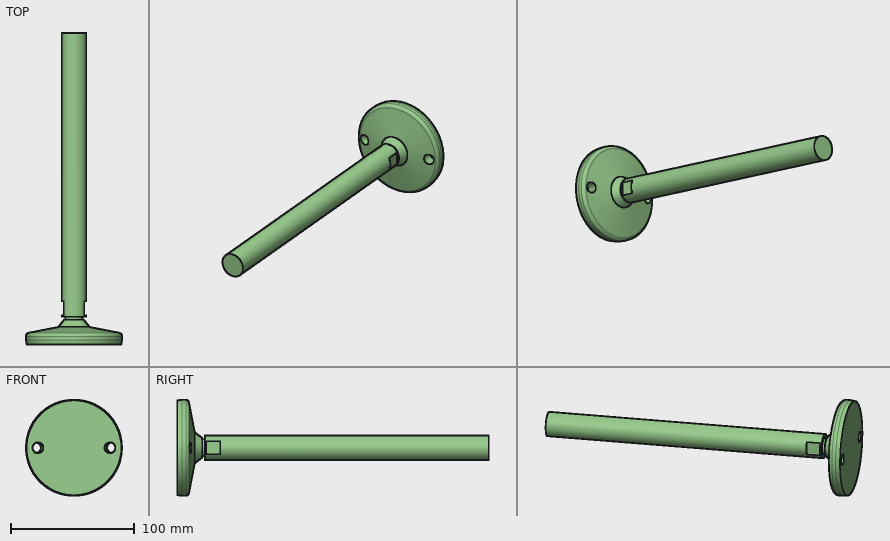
import cadquery as cq
import math

total_length = 252.0

foot_radius = 38.93
sole_radius = 38.3
rim_bottom = 3.8
rim_top = 6.8
shoulder_radius = 3.0
cone_angle = math.radians(10.8)
boss_base_radius = 12.9
boss_top_radius = 8.0
boss_bottom = 14.0
foot_top = 20.2

hole_diameter = 8.5
hole_offset = 29.0
hole_depth = 25.2

rod_diameter = 20.0
rod_bottom = 22.5
neck_diameter = 14.0
flats_width = 17.0
flats_bottom = 23.7
flats_top = 35.0


def cylinder_along_y(diameter, start, end):
    """Cylinder on the Y axis from start to end."""
    return cq.Workplane("XZ", origin=(0, start, 0)).circle(diameter / 2).extrude(start - end)


def make_dish():
    """Revolved dish: drafted side, straight rim, rounded shoulder and conical top."""
    arc_center_x = foot_radius - shoulder_radius
    mid_angle = (math.pi / 2 - cone_angle) / 2

    def shoulder_point(angle):
        return (
            arc_center_x + shoulder_radius * math.cos(angle),
            rim_top + shoulder_radius * math.sin(angle),
        )

    cone_start = shoulder_point(2 * mid_angle)
    apex_height = cone_start[1] + cone_start[0] * math.tan(cone_angle)
    return (
        cq.Workplane("XY")
        .lineTo(sole_radius, 0)
        .lineTo(foot_radius, rim_bottom)
        .lineTo(foot_radius, rim_top)
        .threePointArc(shoulder_point(mid_angle), cone_start)
        .lineTo(0, apex_height)
        .close()
        .revolve(360, (0, 0, 0), (0, 1, 0))
    )


def make_boss():
    """Conical boss that stands on the middle of the dish."""
    return (
        cq.Workplane("XY")
        .lineTo(boss_base_radius, 0)
        .lineTo(boss_base_radius, boss_bottom)
        .lineTo(boss_top_radius, foot_top)
        .lineTo(0, foot_top)
        .close()
        .revolve(360, (0, 0, 0), (0, 1, 0))
    )


def make_mounting_hole(side):
    """Hole cutter that leans outward as it rises; side is -1 or 1."""
    direction = cq.Vector(side * math.sin(cone_angle), math.cos(cone_angle), 0)
    start = cq.Vector(side * hole_offset, 0, 0) - direction * (hole_depth / 2)
    return cq.Solid.makeCylinder(hole_diameter / 2, hole_depth, start, direction)


def make_foot():
    foot = make_dish().union(make_boss())
    for side in (-1, 1):
        foot = foot.cut(make_mounting_hole(side))
    return foot


def make_spindle():
    """Rod and neck standing on the flat top of the foot."""
    neck = cylinder_along_y(neck_diameter, foot_top, rod_bottom)
    spindle = cylinder_along_y(rod_diameter, rod_bottom, total_length).union(neck)
    flats_length = flats_top - flats_bottom
    for side in (-1, 1):
        cutter_x = side * (flats_width + rod_diameter) / 2
        cutter = cq.Workplane("XY").box(rod_diameter, flats_length, rod_diameter)
        spindle = spindle.cut(cutter.translate((cutter_x, (flats_bottom + flats_top) / 2, 0)))
    return spindle


foot = make_foot()
spindle = make_spindle()

result = cq.Compound.makeCompound([foot.solids().val(), spindle.solids().val()])